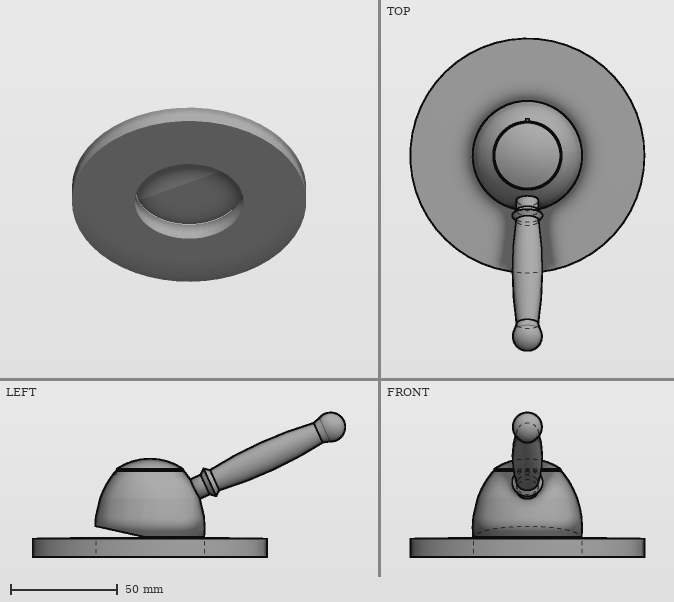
import cadquery as cq
import math

PLATE_RADIUS = 55.0
PLATE_RIM_HEIGHT = 8.7
PLATE_HOLE_RADIUS = 25.5
PLATE_HOLE_HEIGHT = 9.1

DOME_BOTTOM = 9.4
DOME_TOP = 40.2
DOME_BASE_RADIUS = 25.5
DOME_WAIST_RADIUS = 23.2
DOME_WAIST_HEIGHT = 28.2
DOME_TOP_RADIUS = 16.1

RELIEF_START_Y = 2.6
RELIEF_ANGLE = 12.5

NOTCH_RADIUS = 0.9
NOTCH_DEPTH = 1.5

CAP_RADIUS = 15.8
CAP_CHAMFER_RADIUS = 15.4
CAP_WALL_HEIGHT = 0.5
CAP_CHAMFER_HEIGHT = 0.9
CAP_CROWN_HEIGHT = 4.7

LEVER_ORIGIN_HEIGHT = 22.1
LEVER_ANGLE = 24.6
BALL_RADIUS = 6.9
BALL_DISTANCE = 93.3
LEVER_ROOT = 11.7
NECK_RADIUS = 5.1
COLLAR_START = 28.5
COLLAR_PEAK = 31.0
COLLAR_RADIUS = 7.2
GRIP_START = 33.5
GRIP_END = 86.8
GRIP_START_RADIUS = 5.3
GRIP_MIDDLE_RADIUS = 7.0
GRIP_END_RADIUS = 5.1
BALL_NECK_RADIUS = 6.2


def revolve_about_z(profile):
    """Close an XZ half profile and turn it about the Z axis."""
    return profile.close().revolve(360, (0, 0, 0), (0, 1, 0))


def make_plate():
    profile = (
        cq.Workplane("XZ")
        .moveTo(PLATE_HOLE_RADIUS, 0)
        .lineTo(PLATE_RADIUS, 0)
        .lineTo(PLATE_RADIUS, PLATE_RIM_HEIGHT)
        .lineTo(PLATE_HOLE_RADIUS, PLATE_HOLE_HEIGHT)
    )
    return revolve_about_z(profile)


def make_relief():
    """Wedge that lifts the back half of the dome off the plate."""
    length = 2 * DOME_BASE_RADIUS
    rise = length * math.tan(math.radians(RELIEF_ANGLE))
    return (
        cq.Workplane("YZ")
        .moveTo(RELIEF_START_Y, DOME_BOTTOM)
        .lineTo(RELIEF_START_Y + length, DOME_BOTTOM)
        .lineTo(RELIEF_START_Y + length, DOME_BOTTOM + rise)
        .close()
        .extrude(DOME_BASE_RADIUS, both=True)
    )


def make_pry_notch():
    return (
        cq.Workplane("XY", origin=(0, CAP_RADIUS + NOTCH_RADIUS, DOME_TOP))
        .circle(NOTCH_RADIUS)
        .extrude(-NOTCH_DEPTH)
    )


def make_dome():
    profile = (
        cq.Workplane("XZ")
        .moveTo(0, DOME_BOTTOM)
        .lineTo(DOME_BASE_RADIUS, DOME_BOTTOM)
        .threePointArc((DOME_WAIST_RADIUS, DOME_WAIST_HEIGHT), (DOME_TOP_RADIUS, DOME_TOP))
        .lineTo(0, DOME_TOP)
    )
    return revolve_about_z(profile).cut(make_relief()).cut(make_pry_notch())


def make_lever():
    """Neck, collar, bulged grip and end ball, turned about the tilted lever axis."""
    grip_middle = (GRIP_START + GRIP_END) / 2
    ball_neck = BALL_DISTANCE - math.sqrt(BALL_RADIUS**2 - BALL_NECK_RADIUS**2)
    angle = math.radians(LEVER_ANGLE)
    lever_plane = cq.Plane(
        origin=(0, 0, LEVER_ORIGIN_HEIGHT),
        xDir=(1, 0, 0),
        normal=(0, math.sin(angle), math.cos(angle)),
    )
    return (
        cq.Workplane(lever_plane)
        .moveTo(0, -LEVER_ROOT)
        .lineTo(NECK_RADIUS, -LEVER_ROOT)
        .lineTo(NECK_RADIUS, -COLLAR_START)
        .lineTo(COLLAR_RADIUS, -COLLAR_PEAK)
        .lineTo(GRIP_START_RADIUS, -GRIP_START)
        .threePointArc((GRIP_MIDDLE_RADIUS, -grip_middle), (GRIP_END_RADIUS, -GRIP_END))
        .lineTo(BALL_NECK_RADIUS, -ball_neck)
        .threePointArc((BALL_RADIUS, -BALL_DISTANCE), (0, -BALL_DISTANCE - BALL_RADIUS))
        .close()
        .revolve(360, (0, 0, 0), (0, 1, 0))
    )


def make_handle():
    """The dome and its lever are one piece."""
    return make_dome().union(make_lever())


def make_cap():
    """Round cap with a short straight wall, a chamfered edge and a spherical crown."""
    wall_top = DOME_TOP + CAP_WALL_HEIGHT
    edge_top = wall_top + CAP_CHAMFER_HEIGHT
    crown_radius = (CAP_CHAMFER_RADIUS**2 + CAP_CROWN_HEIGHT**2) / (2 * CAP_CROWN_HEIGHT)
    crown_top = edge_top + CAP_CROWN_HEIGHT
    arc_x = CAP_CHAMFER_RADIUS / 2
    arc_z = crown_top - crown_radius + math.sqrt(crown_radius**2 - arc_x**2)
    profile = (
        cq.Workplane("XZ")
        .moveTo(0, DOME_TOP)
        .lineTo(CAP_RADIUS, DOME_TOP)
        .lineTo(CAP_RADIUS, wall_top)
        .lineTo(CAP_CHAMFER_RADIUS, edge_top)
        .threePointArc((arc_x, arc_z), (0, crown_top))
    )
    return revolve_about_z(profile)


plate = make_plate()
handle = make_handle()
cap = make_cap()

result = cq.Compound.makeCompound([plate.val(), *handle.solids().vals(), cap.val()])